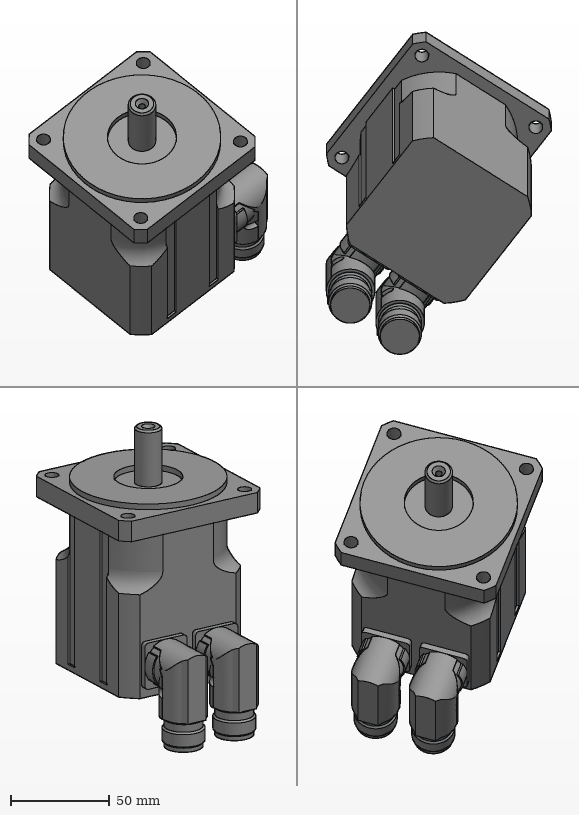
import cadquery as cq
import math


OVERALL_HEIGHT = 152.5

FLANGE_SIDE = 86.0
FLANGE_THICKNESS = 11.1
FLANGE_CORNER_DIAMETER = 115.0
BOLT_HOLE_DIAMETER = 7.0
BOLT_SPACING = 70.8
PILOT_DIAMETER = 80.0
PILOT_HEIGHT = 3.0
RECESS_DIAMETER = 35.0

SHAFT_DIAMETER = 14.0
SHAFT_LENGTH = 30.3
SHAFT_CHAMFER = 1.0
CENTRE_HOLE_DIAMETER = 3.4
CENTRE_HOLE_DEPTH = 7.6
COUNTERSINK_DIAMETER = 6.7
COUNTERSINK_ANGLE = 75

BODY_SIDE = 74.0
BODY_BOTTOM = -100.0
BODY_CORNER_RADIUS = 47.1
NECK_RADIUS = PILOT_DIAMETER / 2
NECK_BOTTOM = -34.0
NECK_FILLET = 10.0
GROOVE_WIDTH = 6.1
GROOVE_DEPTH = 1.2
GROOVE_OFFSET = 15.0
GROOVE_BOTTOM_GAP = 3.2

CONNECTOR_SPACING = 30.8
PLUG_BOTTOM = SHAFT_LENGTH - OVERALL_HEIGHT
ELBOW_Y = 56.5
ELBOW_HEIGHT = 40.1
ELBOW_Z = PLUG_BOTTOM + ELBOW_HEIGHT
BARREL_RADIUS = 12.5
BARREL_REAR_RADIUS = 12.2
BARREL_SEAM = 0.9
SEAM_DROP = 0.8
BARREL_LENGTH = 23.6
REAR_FLAT_HALF_WIDTH = 5.3
REAR_CHAMFER = 2.7
HOOD_RADIUS = 25.2 / 2
STUB_RADIUS = 12.0
PAD_WIDTH = 14.8
GRIP_RADIUS = 12.8
GRIP_FRONT_Y = 47.3
PLATE_THICKNESS = 3.0
PLATE_CORNER_RADIUS = 2.3
DIMPLE_RADIUS = 2.5
DIMPLE_X = 12.0
DIMPLE_DROP = 9.8

PLUG_RADIUS = 20.0 / 2
COLLAR_RADIUS = 22.0 / 2
PLUG_TAPER = COLLAR_RADIUS - PLUG_RADIUS
TOP_RIM = 0.5
COLLAR_TOP = 11.0
COLLAR_BOTTOM = 2.3

BODY_REAR_Y = BODY_SIDE / 2


def round_bar_y(radius, y_start, y_end):
    """Cylinder whose axis is the Y axis."""
    bar = cq.Workplane("XZ", origin=(0, y_start, 0)).circle(radius)
    return bar.extrude(y_start - y_end)


def make_flange():
    square = cq.Workplane("XY").rect(FLANGE_SIDE, FLANGE_SIDE).extrude(-FLANGE_THICKNESS)
    corner_round = cq.Workplane("XY").circle(FLANGE_CORNER_DIAMETER / 2).extrude(-FLANGE_THICKNESS)
    bolt_holes = (
        cq.Workplane("XY")
        .rect(BOLT_SPACING, BOLT_SPACING, forConstruction=True)
        .vertices()
        .circle(BOLT_HOLE_DIAMETER / 2)
        .extrude(-FLANGE_THICKNESS)
    )
    pilot = (
        cq.Workplane("XY")
        .circle(PILOT_DIAMETER / 2)
        .circle(RECESS_DIAMETER / 2)
        .extrude(PILOT_HEIGHT)
    )
    return square.intersect(corner_round).cut(bolt_holes).union(pilot)


def make_shaft():
    shaft = cq.Workplane("XY").circle(SHAFT_DIAMETER / 2).extrude(SHAFT_LENGTH)
    shaft = shaft.faces(">Z").chamfer(SHAFT_CHAMFER)
    return (
        shaft.faces(">Z")
        .workplane()
        .cskHole(CENTRE_HOLE_DIAMETER, COUNTERSINK_DIAMETER, COUNTERSINK_ANGLE, CENTRE_HOLE_DEPTH)
    )


def make_body():
    """Square body with rounded corners, necked down to the pilot diameter below the flange."""
    height = -FLANGE_THICKNESS - BODY_BOTTOM
    square = cq.Workplane("XY", origin=(0, 0, BODY_BOTTOM)).rect(BODY_SIDE, BODY_SIDE).extrude(height)

    arc_centre = NECK_RADIUS + NECK_FILLET
    end_angle = math.acos((arc_centre - BODY_CORNER_RADIUS) / NECK_FILLET)
    arc_middle = (
        arc_centre - NECK_FILLET * math.cos(end_angle / 2),
        NECK_BOTTOM - NECK_FILLET * math.sin(end_angle / 2),
    )
    arc_end = (BODY_CORNER_RADIUS, NECK_BOTTOM - NECK_FILLET * math.sin(end_angle))
    turned = (
        cq.Workplane("XZ")
        .moveTo(0, -FLANGE_THICKNESS)
        .lineTo(NECK_RADIUS, -FLANGE_THICKNESS)
        .lineTo(NECK_RADIUS, NECK_BOTTOM)
        .threePointArc(arc_middle, arc_end)
        .lineTo(BODY_CORNER_RADIUS, BODY_BOTTOM)
        .lineTo(0, BODY_BOTTOM)
        .close()
        .revolve(360, (0, 0, 0), (0, 1, 0))
    )
    body = square.intersect(turned)

    groove_bottom = BODY_BOTTOM + GROOVE_BOTTOM_GAP
    for side in (-1, 1):
        grooves = (
            cq.Workplane("XY", origin=(side * BODY_SIDE / 2, 0, groove_bottom))
            .pushPoints([(0, -GROOVE_OFFSET), (0, GROOVE_OFFSET)])
            .rect(2 * GROOVE_DEPTH, GROOVE_WIDTH)
            .extrude(-FLANGE_THICKNESS - groove_bottom)
        )
        body = body.cut(grooves)
    return body


def make_motor():
    return make_body().union(make_flange()).union(make_shaft())


def make_barrel():
    """Vertical barrel with a flat, bevelled back and a slightly wider front."""
    barrel_height = BARREL_LENGTH + HOOD_RADIUS
    front = cq.Workplane("XY").circle(BARREL_RADIUS).extrude(barrel_height)

    seam_top = BARREL_LENGTH - SEAM_DROP
    front_limit = (
        cq.Workplane("YZ")
        .moveTo(-BARREL_SEAM, 0)
        .lineTo(-BARREL_SEAM, seam_top)
        .lineTo(-BARREL_SEAM - BARREL_RADIUS, seam_top + BARREL_RADIUS)
        .lineTo(-BARREL_SEAM - BARREL_RADIUS, 0)
        .close()
        .extrude(BARREL_RADIUS, both=True)
    )
    front = front.intersect(front_limit)

    bevel_y = BARREL_RADIUS - REAR_CHAMFER
    bevel_x = math.sqrt(BARREL_REAR_RADIUS**2 - bevel_y**2)
    rear = (
        cq.Workplane("XY")
        .moveTo(bevel_x, bevel_y)
        .lineTo(REAR_FLAT_HALF_WIDTH, BARREL_RADIUS)
        .lineTo(-REAR_FLAT_HALF_WIDTH, BARREL_RADIUS)
        .lineTo(-bevel_x, bevel_y)
        .threePointArc((0, -BARREL_REAR_RADIUS), (bevel_x, bevel_y))
        .close()
        .extrude(barrel_height)
    )
    return front.union(rear).translate((0, ELBOW_Y, ELBOW_Z - BARREL_LENGTH))


def make_elbow():
    """Barrel rounded over the top by the hood, which runs on as pads above and below the stub."""
    barrel = make_barrel()
    pad_length = ELBOW_Y - BODY_REAR_Y
    pad_strip = (
        cq.Workplane("XY")
        .box(PAD_WIDTH, pad_length, 2 * HOOD_RADIUS)
        .translate((0, BODY_REAR_Y + pad_length / 2, ELBOW_Z))
    )
    hood_bar = round_bar_y(HOOD_RADIUS, BODY_REAR_Y, ELBOW_Y + BARREL_RADIUS)
    hood = hood_bar.translate((0, 0, ELBOW_Z)).intersect(barrel.union(pad_strip))

    lower_half = (
        cq.Workplane("XY", origin=(0, ELBOW_Y, ELBOW_Z))
        .rect(4 * BARREL_RADIUS, 4 * BARREL_RADIUS)
        .extrude(-BARREL_LENGTH)
    )
    return hood.union(barrel.intersect(lower_half))


def make_stub():
    """Horizontal stub with raised grips at both sides, and its mounting plate."""
    stub = round_bar_y(STUB_RADIUS, BODY_REAR_Y, ELBOW_Y)
    grip_length = GRIP_FRONT_Y - BODY_REAR_Y
    grip_strip = (
        cq.Workplane("XY")
        .box(2 * GRIP_RADIUS, grip_length, PAD_WIDTH)
        .translate((0, BODY_REAR_Y + grip_length / 2, 0))
    )
    grips = round_bar_y(GRIP_RADIUS, BODY_REAR_Y, GRIP_FRONT_Y).intersect(grip_strip)
    plate = (
        cq.Workplane("XZ", origin=(0, BODY_REAR_Y, 0))
        .rect(2 * GRIP_RADIUS, 2 * HOOD_RADIUS)
        .extrude(-PLATE_THICKNESS)
        .edges("|Y")
        .fillet(PLATE_CORNER_RADIUS)
    )
    return stub.union(grips).union(plate).translate((0, 0, ELBOW_Z))


def make_plug():
    """Turned plug under the barrel: waist, collar and end spigot."""
    top = ELBOW_HEIGHT - BARREL_LENGTH
    return (
        cq.Workplane("XZ")
        .moveTo(0, 0)
        .lineTo(PLUG_RADIUS, 0)
        .lineTo(PLUG_RADIUS, COLLAR_BOTTOM)
        .lineTo(COLLAR_RADIUS, COLLAR_BOTTOM + PLUG_TAPER)
        .lineTo(COLLAR_RADIUS, COLLAR_TOP - PLUG_TAPER)
        .lineTo(PLUG_RADIUS, COLLAR_TOP)
        .lineTo(PLUG_RADIUS, top - TOP_RIM - PLUG_TAPER)
        .lineTo(COLLAR_RADIUS, top - TOP_RIM)
        .lineTo(COLLAR_RADIUS, top)
        .lineTo(0, top)
        .close()
        .revolve(360, (0, 0, 0), (0, 1, 0))
        .translate((0, ELBOW_Y, PLUG_BOTTOM))
    )


def make_connector(x):
    connector = make_elbow().union(make_stub()).union(make_plug())
    for side in (-1, 1):
        dimple = round_bar_y(DIMPLE_RADIUS, ELBOW_Y - BARREL_RADIUS, ELBOW_Y - BARREL_SEAM)
        connector = connector.cut(dimple.translate((side * DIMPLE_X, 0, ELBOW_Z - DIMPLE_DROP)))
    return connector.translate((x, 0, 0))


motor = make_motor()
connectors = [make_connector(side * CONNECTOR_SPACING / 2) for side in (-1, 1)]

result = cq.Compound.makeCompound([motor.val(), *[connector.val() for connector in connectors]])